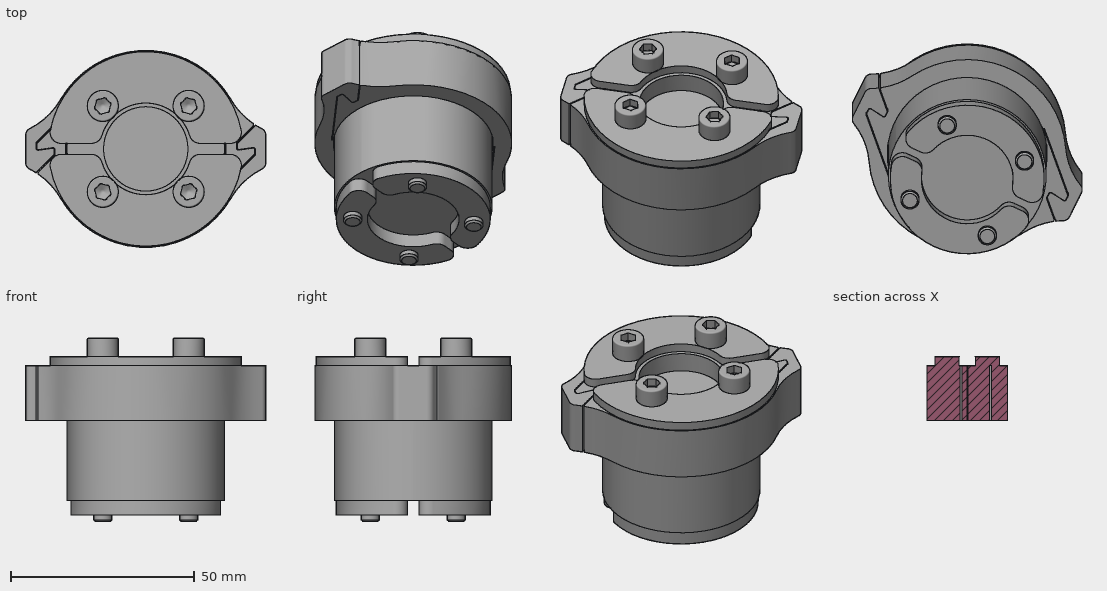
import cadquery as cq
import math

insert_height = 36.75
clamp_height = 15.0
clamp_base = insert_height - clamp_height
top_plate_thickness = 2.5
bottom_plate_thickness = 4.0
plate_top = insert_height + top_plate_thickness

insert_radius = 21.5
bore_radius = 11.5
bore_depth = 5.6
floor_height = insert_height - bore_depth
core_radius = 2.0
thin_layer = 0.6
thin_layer_count = 9
thick_layer_count = 5
thin_stack_radius = core_radius + thin_layer * thin_layer_count
thick_layer = (bore_radius - thin_stack_radius) / thick_layer_count

clamp_radius = 26.86
clamp_clearance = 0.3
clamp_bore_radius = insert_radius + clamp_clearance
overall_length = 65.5
ear_corner_radius = 2.0
ear_blend_radius = 20.0
ear_blend_angle = math.radians(30)

run_gap = 0.28
hook_end_gap = 0.12
tooth_gap = 0.04
joint_corner_radius = 0.5
hook_zone_half_width = 2.5
hook_tip_x = -29.85
hook_tip_low_y = -0.4
hook_tip_high_y = 1.7
hook_root_x = -24.9
hook_root_high_y = 0.3
hook_root_low_y = -1.5
lower_run_reach = 8.0
mouth_corner = (-29.6, -6.9)

top_plate_radius = 26.5
bottom_plate_radius = 21.0
plate_opening_radius = 12.5
plate_gap = 3.0
plate_corner_radius = 3.0

screw_offset = 11.7
head_diameter = 8.5
head_height = 5.0
head_edge_radius = 0.4
socket_width = 4.0
socket_depth = 2.5
socket_turn = 15.0
drill_point_angle = 118.0
shank_diameter = 5.0
shank_tip_chamfer = 0.5
shank_projection = 1.75


def disc(radius, base, height):
    """Upright cylinder on the part axis."""
    return cq.Workplane("XY").workplane(offset=base).circle(radius).extrude(height)


def polar(center, radius, angle):
    """Point at a distance and direction from a centre."""
    return (center[0] + radius * math.cos(angle), center[1] + radius * math.sin(angle))


def make_insert():
    """Two half shells and nested half layers; the joint lines stay on the faces."""
    envelope = disc(insert_radius, 0, insert_height)
    upper_half = cq.Workplane("XY").box(
        2 * insert_radius, insert_radius, insert_height, centered=(True, False, False)
    )
    lower_half = upper_half.mirror("XZ")
    layer_radii = [core_radius + thin_layer * i for i in range(thin_layer_count)]
    layer_radii += [thin_stack_radius + thick_layer * i for i in range(thick_layer_count + 1)]

    rings = [envelope.cut(disc(bore_radius, 0, insert_height))]
    for inner, outer in zip(layer_radii, layer_radii[1:]):
        rings.append(disc(outer, 0, floor_height).cut(disc(inner, 0, floor_height)))

    insert = disc(core_radius, 0, floor_height)
    for ring in rings:
        for half in (upper_half, lower_half):
            insert = insert.union(ring.intersect(half), clean=False)
    return insert


def clamp_blank():
    """Ring with two ears, each faired into the ring by concave tangent blends."""
    half_length = overall_length / 2
    blend_distance = clamp_radius + ear_blend_radius
    blend_center = polar((0, 0), blend_distance, ear_blend_angle)
    corner_x = half_length - ear_corner_radius
    reach = ear_blend_radius + ear_corner_radius
    corner_y = blend_center[1] - math.sqrt(reach**2 - (blend_center[0] - corner_x) ** 2)
    corner_center = (corner_x, corner_y)

    tangent_angle = math.atan2(blend_center[1] - corner_y, blend_center[0] - corner_x)
    tangent = polar(corner_center, ear_corner_radius, tangent_angle)
    corner_middle = polar(corner_center, ear_corner_radius, tangent_angle / 2)
    blend_middle = polar(blend_center, -ear_blend_radius, (tangent_angle + ear_blend_angle) / 2)
    ring_end = polar((0, 0), clamp_radius, ear_blend_angle)

    half = (
        cq.Workplane("XY")
        .workplane(offset=clamp_base)
        .moveTo(half_length, 0)
        .lineTo(half_length, corner_y)
        .threePointArc(corner_middle, tangent)
        .threePointArc(blend_middle, ring_end)
        .threePointArc((0, clamp_radius), (-ring_end[0], ring_end[1]))
        .threePointArc((-blend_middle[0], blend_middle[1]), (-tangent[0], tangent[1]))
        .threePointArc((-corner_middle[0], corner_middle[1]), (-half_length, corner_y))
        .lineTo(-half_length, 0)
    )
    return half.mirrorX().extrude(clamp_height)


def joint_slit():
    """Slit of the left ear: a hook between two 45 degree runs."""
    run_distance = (hook_tip_high_y - hook_tip_x) / math.sqrt(2)
    inner_distance = run_distance - run_gap
    bore_distance = clamp_bore_radius - run_gap
    run_angle = math.radians(135)
    leg_angle = math.radians(225)

    block_side = [
        polar((0, 0), bore_distance, run_angle),
        polar((0, 0), run_distance, run_angle),
        (hook_tip_x, hook_tip_high_y),
        (hook_tip_x, hook_tip_low_y),
        (hook_root_x, hook_root_high_y),
        (hook_root_x, hook_root_low_y),
        (hook_root_x - lower_run_reach, hook_root_low_y - lower_run_reach),
    ]
    run_shift = hook_end_gap - math.sqrt(2) * run_gap
    tooth_slope = (hook_root_high_y - hook_tip_low_y) / (hook_root_x - hook_tip_x)
    tooth_shift = hook_end_gap * tooth_slope + tooth_gap
    tongue_side = [
        polar(polar((0, 0), bore_distance, run_angle), run_gap, leg_angle),
        polar(polar((0, 0), inner_distance, run_angle), run_gap, leg_angle),
    ]
    y_shifts = [run_shift, tooth_shift, tooth_shift, run_shift, run_shift]
    for (x, y), y_shift in zip(block_side[2:], y_shifts):
        tongue_side.append((x + hook_end_gap, y + y_shift))
    return (
        cq.Workplane("XY")
        .workplane(offset=clamp_base)
        .polyline(block_side + tongue_side[::-1])
        .close()
        .extrude(clamp_height)
    )


def make_clamp():
    """Clamp ring parted into two hooked halves."""
    clamp = clamp_blank().cut(disc(clamp_bore_radius, clamp_base, clamp_height))
    slit = joint_slit()
    opposite_slit = slit.rotate((0, 0, 0), (0, 0, 1), 180)
    clamp = clamp.cut(slit).cut(opposite_slit)

    for side in (-1, 1):
        mouth_point = (-side * mouth_corner[0], -side * mouth_corner[1], clamp_base + clamp_height / 2)
        mouth_edge = cq.selectors.NearestToPointSelector(mouth_point)
        clamp = clamp.edges("|Z").edges(mouth_edge).fillet(joint_corner_radius)
        hook_zone = cq.selectors.BoxSelector(
            (side * clamp_bore_radius, -hook_zone_half_width, clamp_base),
            (side * overall_length / 2, hook_zone_half_width, insert_height),
        )
        clamp = clamp.edges("|Z").edges(hook_zone).fillet(joint_corner_radius)
    return clamp


def make_plates(radius, base, thickness):
    """Pair of half-moon plates around a round opening, all corners rounded."""
    gap = cq.Workplane("XY").workplane(offset=base).rect(4 * radius, plate_gap).extrude(thickness)
    plates = disc(radius, base, thickness)
    plates = plates.cut(disc(plate_opening_radius, base, thickness)).cut(gap)
    return plates.edges("|Z").fillet(plate_corner_radius)


def make_screw():
    """Head and shank end of the screw in the +X +Y quadrant."""
    head = disc(head_diameter / 2, plate_top, head_height).faces(">Z").edges().fillet(head_edge_radius)
    head_top = plate_top + head_height
    corner_radius = socket_width / math.sqrt(3)
    socket = (
        cq.Workplane("XY")
        .workplane(offset=head_top)
        .polygon(6, 2 * corner_radius)
        .extrude(-socket_depth)
        .rotate((0, 0, 0), (0, 0, 1), -socket_turn)
    )
    point_depth = corner_radius / math.tan(math.radians(drill_point_angle / 2))
    drill_point = cq.Workplane(
        cq.Solid.makeCone(
            corner_radius,
            0,
            point_depth,
            pnt=cq.Vector(0, 0, head_top - socket_depth),
            dir=cq.Vector(0, 0, -1),
        )
    )
    shank_length = bottom_plate_thickness + shank_projection
    shank = disc(shank_diameter / 2, -shank_length, shank_length).faces("<Z").chamfer(shank_tip_chamfer)
    return (
        head.cut(socket).cut(drill_point).translate((screw_offset, screw_offset, 0)),
        shank.translate((screw_offset, screw_offset, 0)),
    )


def four_ways(body):
    """Copies mirrored into all four quadrants."""
    pair = [body, body.mirror("YZ")]
    return pair + [half.mirror("XZ") for half in pair]


parts = [
    make_clamp(),
    make_plates(top_plate_radius, insert_height, top_plate_thickness),
    make_plates(bottom_plate_radius, -bottom_plate_thickness, bottom_plate_thickness),
]
for screw_piece in make_screw():
    parts += four_ways(screw_piece)

assembled = make_insert()
for part in parts:
    assembled = assembled.union(part, clean=False)

result = cq.Workplane(assembled.solids().val())